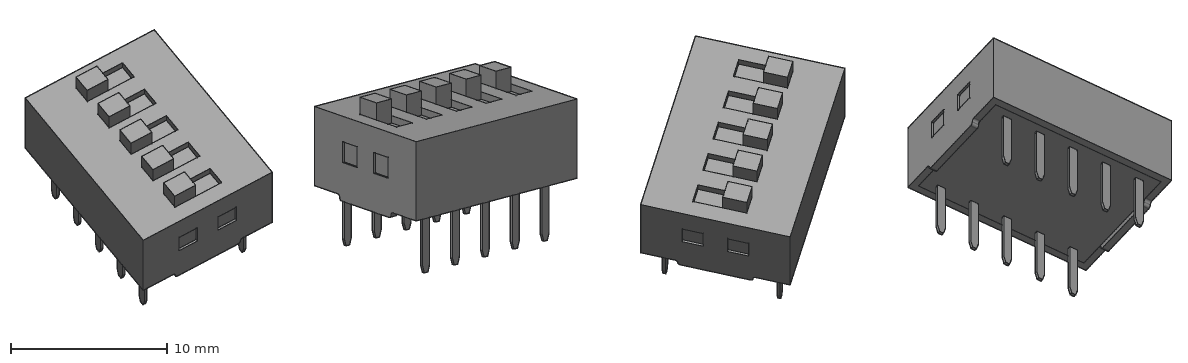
import cadquery as cq

LENGTH = 13.7
DEPTH = 9.9
HOUSING_HEIGHT = 5.33
WALL = 0.5

TAB_WIDTH = 4.99
TAB_DROP = 0.4
TAB_RADIUS = 0.19

WINDOW_SIZE = 1.4
WINDOW_SPACING = 3.0
WINDOW_Z = 2.92
LATCH_SETBACK = 0.15

SWITCH_COUNT = 5
SWITCH_SPAN = 10.17

SLOT_WIDTH = 1.34
SLOT_LENGTH = 3.59
SLIDER_WIDTH = 1.29
SLIDER_LENGTH = 1.6
SLIDER_RISE = 1.14

ROW_SPACING = 7.6
PIN_WIDTH = 0.6
PIN_THICKNESS = 0.2
PIN_LENGTH = 4.08
PIN_TIP_WIDTH = 0.3
PIN_TIP_HEIGHT = 0.5

CAVITY_LENGTH = LENGTH - 2 * WALL
CAVITY_DEPTH = DEPTH - 2 * WALL
CAVITY_HEIGHT = HOUSING_HEIGHT - WALL
SLIDER_HEIGHT = WALL + SLIDER_RISE
SLIDER_Y = (SLIDER_LENGTH - SLOT_LENGTH) / 2
SWITCH_XS = [(i / (SWITCH_COUNT - 1) - 0.5) * SWITCH_SPAN for i in range(SWITCH_COUNT)]
ROW_YS = [-ROW_SPACING / 2, ROW_SPACING / 2]
WINDOW_YS = [-WINDOW_SPACING / 2, WINDOW_SPACING / 2]


def standing_box(length, depth, height):
    """Box centred on the Z axis that stands on Z = 0."""
    return cq.Workplane("XY").box(length, depth, height, centered=(True, True, False))


def end_wall():
    """Outline of the -X end wall with its tab, extruded through the wall thickness."""
    half_depth = DEPTH / 2
    half_tab = TAB_WIDTH / 2
    outline = [
        (-half_depth, HOUSING_HEIGHT),
        (-half_depth, 0),
        (-half_tab, 0),
        (-half_tab, -TAB_DROP),
        (half_tab, -TAB_DROP),
        (half_tab, 0),
        (half_depth, 0),
        (half_depth, HOUSING_HEIGHT),
    ]
    wall = cq.Workplane("YZ", origin=(-LENGTH / 2, 0, 0)).polyline(outline).close().extrude(WALL)
    tab_corners = cq.selectors.BoxSelector(
        (-LENGTH, -half_tab - WALL, -2 * TAB_DROP),
        (LENGTH, half_tab + WALL, TAB_DROP),
    )
    return wall.edges("|X").edges(tab_corners).fillet(TAB_RADIUS)


def end_blocks(thickness, inner_x):
    """Window-sized blocks at both ends, reaching outwards from inner_x."""
    centre_x = inner_x + thickness / 2
    centres = [(x, y) for x in (-centre_x, centre_x) for y in WINDOW_YS]
    blocks = cq.Workplane("XY", origin=(0, 0, WINDOW_Z)).pushPoints(centres)
    return blocks.box(thickness, WINDOW_SIZE, WINDOW_SIZE)


def make_housing():
    cavity = standing_box(CAVITY_LENGTH, CAVITY_DEPTH, CAVITY_HEIGHT)
    shell = standing_box(LENGTH, DEPTH, HOUSING_HEIGHT).cut(cavity)
    wall = end_wall()
    shell = shell.union(wall).union(wall.mirror("YZ"))
    shell = shell.cut(end_blocks(WALL, CAVITY_LENGTH / 2))
    slots = (
        cq.Workplane("XY", origin=(0, 0, CAVITY_HEIGHT))
        .pushPoints([(x, 0) for x in SWITCH_XS])
        .rect(SLOT_WIDTH, SLOT_LENGTH)
        .extrude(WALL)
    )
    return shell.cut(slots)


def pin(x, y):
    """Flat pin below Z = 0 with a tapered tip."""
    outline = [
        (-PIN_WIDTH / 2, 0),
        (-PIN_WIDTH / 2, PIN_TIP_HEIGHT - PIN_LENGTH),
        (-PIN_TIP_WIDTH / 2, -PIN_LENGTH),
        (PIN_TIP_WIDTH / 2, -PIN_LENGTH),
        (PIN_WIDTH / 2, PIN_TIP_HEIGHT - PIN_LENGTH),
        (PIN_WIDTH / 2, 0),
    ]
    blade = cq.Workplane("XZ").polyline(outline).close().extrude(PIN_THICKNESS / 2, both=True)
    return blade.translate((x, y, 0))


def make_base():
    """Block that fills the housing, with the latches and all the pins."""
    base = standing_box(CAVITY_LENGTH, CAVITY_DEPTH, CAVITY_HEIGHT)
    base = base.union(end_blocks(WALL - LATCH_SETBACK, CAVITY_LENGTH / 2))
    for y in ROW_YS:
        for x in SWITCH_XS:
            base = base.union(pin(x, y))
    return base


def make_slider(x):
    """Slider that stands on the base and rises through its slot."""
    return standing_box(SLIDER_WIDTH, SLIDER_LENGTH, SLIDER_HEIGHT).translate((x, SLIDER_Y, CAVITY_HEIGHT))


housing = make_housing()
base = make_base()
sliders = [make_slider(x) for x in SWITCH_XS]

result = cq.Compound.makeCompound([housing.val(), base.val(), *[slider.val() for slider in sliders]])